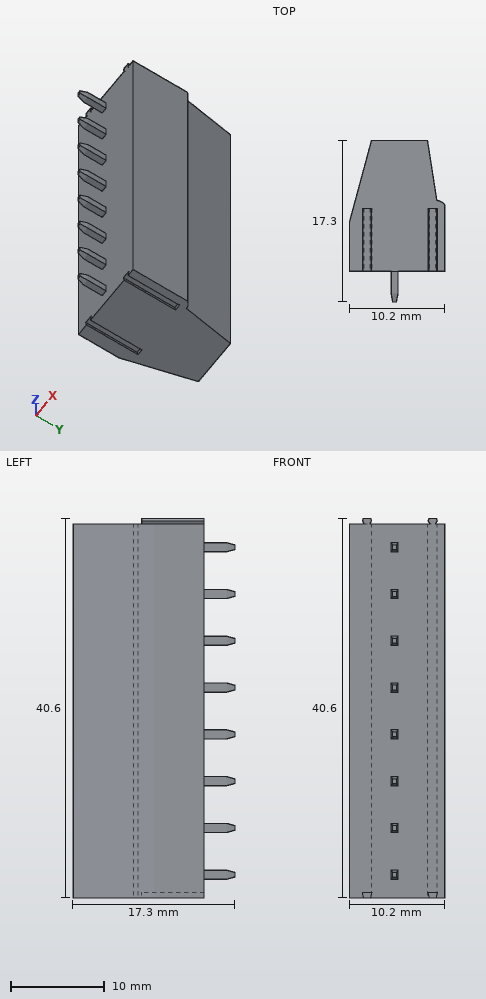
import cadquery as cq

pole_count = 8
pitch = 5.0
body_width = 10.2
body_height = 14.0
body_length = pole_count * pitch

left_wall_height = 5.3
crown_left_x = 2.35
crown_right_x = 8.35
ledge_x = 9.35
ledge_height = 7.58
right_wall_height = 7.1
ledge_radius = 1.2

rail_centers = (1.88, 8.9)
rail_neck_width = 0.64
rail_head_width = 0.98
rail_crest_width = 0.82
rail_flare_height = 0.32
rail_height = 0.59
rail_length = 6.7
groove_mouth_width = 0.74
groove_floor_width = 1.02
groove_depth = 0.62

pin_x = 4.82
pin_width = 0.75
pin_thickness = 1.0
pin_shank_length = 2.4
pin_length = 3.3
pin_tip_width = 0.42
pin_tip_thickness = 0.5


def make_housing():
    """Extrude the tapered cross-section along the full length."""
    return (
        cq.Workplane("XY")
        .lineTo(body_width, 0)
        .lineTo(body_width, right_wall_height)
        .radiusArc((ledge_x, ledge_height), -ledge_radius)
        .lineTo(crown_right_x, body_height)
        .lineTo(crown_left_x, body_height)
        .lineTo(0, left_wall_height)
        .close()
        .extrude(body_length)
    )


def extrude_symmetric_profile(center_x, base_z, levels):
    """Extrude a profile, given as (width, height) levels, from the mounting face along the rail length."""
    left_side = [(center_x - width / 2, base_z + height) for width, height in levels]
    right_side = [(center_x + width / 2, base_z + height) for width, height in levels]
    profile = right_side + left_side[::-1]
    return cq.Workplane("XZ").polyline(profile).close().extrude(-rail_length)


def make_rail(center_x):
    """Rail on the +Z end: narrow at the neck, widest at the flare, tapering to the crest."""
    levels = [
        (rail_neck_width, 0),
        (rail_head_width, rail_flare_height),
        (rail_crest_width, rail_height),
    ]
    return extrude_symmetric_profile(center_x, body_length, levels)


def make_groove(center_x):
    """Dovetail groove cutter for the -Z end, widening with depth."""
    levels = [
        (groove_mouth_width, 0),
        (groove_floor_width, groove_depth),
    ]
    return extrude_symmetric_profile(center_x, 0, levels)


def make_pin(center_z):
    """Rectangular pin pointing toward -Y with a tapered tip."""
    base = cq.Workplane("XZ").center(pin_x, center_z)
    shank = base.rect(pin_width, pin_thickness).extrude(pin_shank_length)
    tip = (
        base.workplane(offset=pin_shank_length)
        .rect(pin_width, pin_thickness)
        .workplane(offset=pin_length - pin_shank_length)
        .rect(pin_tip_width, pin_tip_thickness)
        .loft()
    )
    return shank.union(tip)


result = make_housing()

for rail_x in rail_centers:
    result = result.cut(make_groove(rail_x))
    result = result.union(make_rail(rail_x))

for pole in range(pole_count):
    result = result.union(make_pin((pole + 0.5) * pitch))